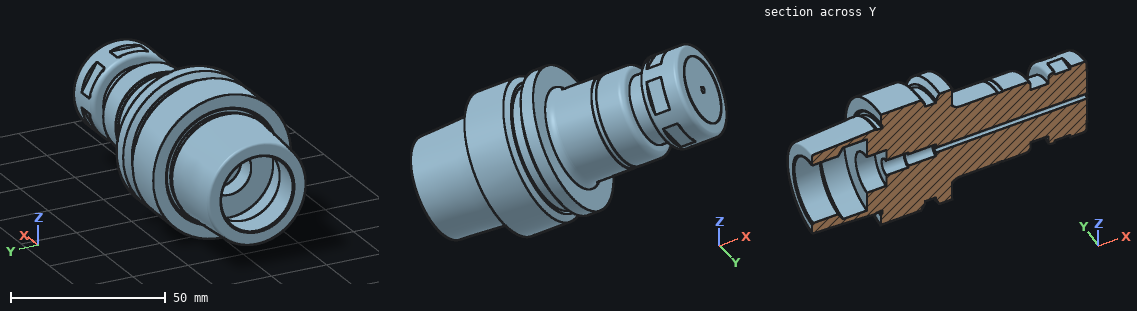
import cadquery as cq
import math

total_length = 100.0
taper_end = 23.1
flange_start = 25.0
flange_end = 51.0
grip_groove_centre = 43.0
snap_groove_start = 67.5
nose_end = 79.5
nut_start = 85.8
nut_end = 99.8

taper_small_radius = 17.9
taper_large_radius = 19.2
taper_edge_round = 0.9
undercut_start = 23.7
undercut_radius = 18.8
undercut_slope_start = 24.6
undercut_base_radius = 18.6
undercut_bottom = 25.5
undercut_outer_radius = 20.4
undercut_bottom_radius = 19.8

flange_radius = 25.0
grip_groove_width = 3.8
grip_groove_radius = 21.5
grip_bevel_length = 1.4
grip_bevel_angle = 60.0
grip_bevel_depth = grip_bevel_length * math.tan(math.radians(grip_bevel_angle))

nose_radius = 16.0
root_fillet_length = 3.0
root_fillet_height = 1.5
snap_groove_width = 1.8
snap_groove_depth = 0.2
nose_round = 2.0
neck_radius = 12.0
nut_radius = 16.0
nut_back_round = 1.5
nut_front_round = 1.3
collet_radius = 11.5

flat_count = 6
flat_distance = 15.0
flat_start = 88.3
flat_end = 93.7
flat_wall_flare = 0.2

mouth_radius = 13.4
mouth_chamfer = 0.4
bore_radius = 13.0
clamp_groove_start = 9.6
clamp_groove_radius = 16.0
clamp_shoulder_angle = 30.0
clamp_shoulder_length = (clamp_groove_radius - bore_radius) * math.tan(math.radians(clamp_shoulder_angle))
bore_depth = 20.0
deep_holes = [(16.0, 27.0), (6.5, 35.0), (5.0, 45.0), (2.0, total_length)]


def make_body():
    """Revolve the outer profile about X; points are (x, radius)."""
    groove_start = grip_groove_centre - grip_groove_width / 2
    groove_end = grip_groove_centre + grip_groove_width / 2
    bevel_radius = flange_radius - grip_bevel_depth
    snap_groove_end = snap_groove_start + snap_groove_width
    snap_groove_radius = nose_radius - snap_groove_depth
    root_radius = (root_fillet_length**2 + root_fillet_height**2) / (2 * root_fillet_height)
    profile = (
        cq.Workplane("XY")
        .lineTo(0, taper_small_radius - taper_edge_round)
        .radiusArc((taper_edge_round, taper_small_radius), taper_edge_round)
        .lineTo(taper_end, taper_large_radius)
        .lineTo(undercut_start, undercut_radius)
        .lineTo(undercut_slope_start, undercut_radius)
        .lineTo(undercut_bottom, undercut_base_radius)
        .lineTo(undercut_bottom, undercut_bottom_radius)
        .lineTo(flange_start, undercut_outer_radius)
        .lineTo(flange_start, flange_radius)
        .lineTo(groove_start - grip_bevel_length, flange_radius)
        .lineTo(groove_start, bevel_radius)
        .lineTo(groove_start, grip_groove_radius)
        .lineTo(groove_end, grip_groove_radius)
        .lineTo(groove_end, bevel_radius)
        .lineTo(groove_end + grip_bevel_length, flange_radius)
        .lineTo(flange_end, flange_radius)
        .lineTo(flange_end, nose_radius + root_fillet_height)
        .radiusArc((flange_end + root_fillet_length, nose_radius), -root_radius)
        .lineTo(snap_groove_start, nose_radius)
        .lineTo(snap_groove_start, snap_groove_radius)
        .lineTo(snap_groove_end, snap_groove_radius)
        .lineTo(snap_groove_end, nose_radius)
        .lineTo(nose_end - nose_round, nose_radius)
        .radiusArc((nose_end, nose_radius - nose_round), nose_round)
        .lineTo(nose_end, neck_radius)
        .lineTo(nut_start, neck_radius)
        .lineTo(nut_start, nut_radius - nut_back_round)
        .radiusArc((nut_start + nut_back_round, nut_radius), nut_back_round)
        .lineTo(nut_end - nut_front_round, nut_radius)
        .radiusArc((nut_end, nut_radius - nut_front_round), nut_front_round)
        .lineTo(nut_end, collet_radius)
        .lineTo(total_length, collet_radius)
        .lineTo(total_length, 0)
        .close()
    )
    return profile.revolve(360, (0, 0), (1, 0))


def make_bore():
    """Chamfered mouth, conical-shouldered clamping groove and stepped hole."""
    profile = (
        cq.Workplane("XY")
        .lineTo(0, mouth_radius)
        .lineTo(mouth_chamfer, bore_radius)
        .lineTo(clamp_groove_start, bore_radius)
        .lineTo(clamp_groove_start + clamp_shoulder_length, clamp_groove_radius)
        .lineTo(bore_depth, clamp_groove_radius)
    )
    floor = bore_depth
    for diameter, depth in deep_holes:
        profile = profile.lineTo(floor, diameter / 2).lineTo(depth, diameter / 2)
        floor = depth
    return profile.lineTo(total_length, 0).close().revolve(360, (0, 0), (1, 0))


def make_flat_cutter():
    """Flat-bottomed cutter on the +Z side with slightly flared end walls."""
    return (
        cq.Workplane("XZ")
        .moveTo(flat_start, flat_distance)
        .lineTo(flat_end, flat_distance)
        .lineTo(flat_end + flat_wall_flare, nut_radius)
        .lineTo(flat_start - flat_wall_flare, nut_radius)
        .close()
        .extrude(nut_radius, both=True)
    )


result = make_body().cut(make_bore())
flat_cutter = make_flat_cutter()
for index in range(flat_count):
    angle = index * 360 / flat_count
    result = result.cut(flat_cutter.rotate((0, 0, 0), (1, 0, 0), angle))